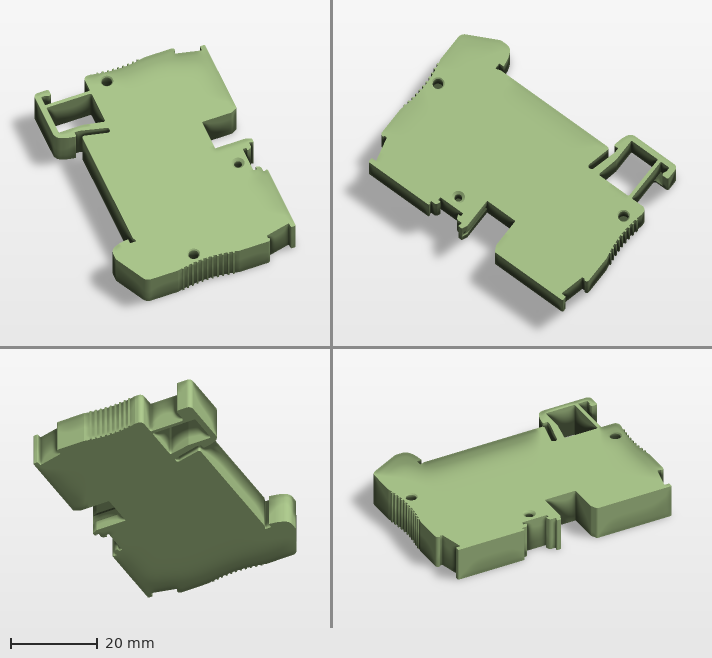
import cadquery as cq
import math

length = 60.0
height = 42.2
thickness = 8.2

body_bottom = 12.6
rail_seat = 5.9
claw_ledge = 4.75

strut_left = 4.25
strut_right = 5.1
window_bottom = 1.4
window_right = 12.8
hook_left = 0.35
hook_top = 3.85
hook_web_thickness = 0.95

notch_left = 22.3
notch_right = 30.5
notch_floor = 33.25
clip_lead_in = 0.6
wall_recess_bottom = 2.6
wall_recess_top = 5.0

clip_center = 36.4

claw_corner_x = 51.7
claw_slope = 0.51
claw_corner_radius = 1.8

grip_rib_pitch = 1.25
grip_rib_width = 0.4
grip_rib_height = 0.4

side_hole_inset = 3.1
side_hole_y = 17.2
side_hole_diameter = 2.45
side_hole_bevel = 0.3
clip_hole_y = 36.55
clip_hole_diameter = 1.8
clip_hole_bevel = 0.6
hole_mouth_diameter = 3.05
hole_depth = 3.6


def rounded_outline(corners):
    """Closed wire through (x, y, radius) corners, each rounded by its own radius."""
    wire = None
    count = len(corners)
    for i, (x, y, radius) in enumerate(corners):
        corner = cq.Vector(x, y)
        to_last = (cq.Vector(*corners[i - 1][:2]) - corner).normalized()
        to_next = (cq.Vector(*corners[(i + 1) % count][:2]) - corner).normalized()
        half_angle = to_last.getAngle(to_next) / 2
        setback = radius / math.tan(half_angle)
        entry = corner + to_last * setback
        if wire is None:
            wire = cq.Workplane("XY").moveTo(entry.x, entry.y)
        else:
            wire = wire.lineTo(entry.x, entry.y)
        if radius > 0:
            bisector = (to_last + to_next).normalized()
            middle = corner + bisector * (radius / math.sin(half_angle) - radius)
            leave = corner + to_next * setback
            wire = wire.threePointArc((middle.x, middle.y), (leave.x, leave.y))
    return wire.close()


def mirrored(corners, axis_x):
    """The same stretch of corners reflected about x = axis_x, in reversed order."""
    return [(2 * axis_x - x, y, radius) for x, y, radius in reversed(corners)]


def body():
    """Flat body with its feet; the outline runs clockwise from the lower left."""
    left_shoulder = [
        (0, body_bottom, 1.1),
        (0, 35.1, 0.6),
        (0.9, 35.25, 0.2),
        (1.0, 34.9, 0.1),
        (1.7, 34.9, 0.2),
        (3.1, 40.95, 0.1),
        (1.85, 41.0, 0.1),
        (1.85, height, 0.3),
    ]
    notch = [
        (21.55, height, 0.5),
        (notch_left, height - 1.55, 0.9),
        (notch_left, notch_floor, 0),
        (notch_right, notch_floor, 0),
        (notch_right, height - 1.3, 0),
        (notch_right + clip_lead_in, height, 0.1),
    ]
    left_clip = [
        (32.1, height, 0.2),
        (32.1, 41.7, 0.05),
        (31.95, 41.65, 0),
        (31.95, 41.1, 0),
        (33.4, 41.1, 0.7),
        (33.8, 40.15, 0.05),
        (33.8, 39.9, 0),
        (33.1, 39.9, 0),
        (33.1, 39.1, 0),
    ]
    right_claw = [
        (length, claw_slope * (length - claw_corner_x), claw_corner_radius),
        (claw_corner_x, 0, 0.6),
        (48.7, 0, 2.0),
        (47.65, 2.4, 6.0),
        (47.3, claw_ledge, 0.05),
        (48.55, claw_ledge, 0.2),
        (48.55, 6.35, 0.2),
        (47.35, rail_seat, 0),
    ]
    slot = [
        (15.65, rail_seat, 0.5),
        (17.2, body_bottom, 0.6),
        (15.8, body_bottom, 0.6),
        (14.1, 6.0, 0.3),
    ]
    spring_foot = [
        (14.1, claw_ledge, 0.1),
        (15.35, claw_ledge, 0.25),
        (14.95, 2.4, 6.0),
        (13.9, 0, 2.0),
        (hook_left, 0, 1.1),
        (hook_left, hook_top, 0.5),
        (1.9, hook_top, 0.25),
        (2.15, 3.2, 0.25),
        (1.8, 2.5, 0.2),
        (1.8, window_bottom, 0.2),
        (strut_left, window_bottom, 0),
        (strut_left, body_bottom, 0.3),
    ]
    right_shoulder = mirrored(left_shoulder[1:], length / 2)
    right_clip = mirrored(left_clip, clip_center)
    outline = left_shoulder + notch + left_clip + right_clip + right_shoulder
    outline += right_claw + slot + spring_foot
    return rounded_outline(outline).extrude(thickness)


def spring_window():
    """Through window between the strut and the springy arm of the left foot."""
    corners = [
        (strut_right, window_bottom, 0.25),
        (strut_right, body_bottom, 0.4),
        (13.85, body_bottom, 0.4),
        (window_right, 7.3, 0),
        (window_right, window_bottom, 0.25),
    ]
    return rounded_outline(corners).extrude(thickness)


def hook_web():
    """Thin floor that closes the hook of the left foot at the underside."""
    web_left = 1.2
    web_bottom = 0.6
    corner_fillet = 0.6
    web = (
        cq.Workplane("XY")
        .moveTo(web_left, web_bottom)
        .lineTo(strut_left, web_bottom)
        .lineTo(strut_left, hook_top + corner_fillet)
        .radiusArc((strut_left - corner_fillet, hook_top), corner_fillet)
        .lineTo(web_left, hook_top)
        .close()
    )
    return web.extrude(hook_web_thickness)


def wall_recess():
    """Shallow recess in the right wall of the notch, as deep as the lead-in."""
    recess_length = height - notch_floor
    recess_height = wall_recess_top - wall_recess_bottom
    recess = cq.Workplane("XY").box(clip_lead_in, recess_length, recess_height, centered=False)
    return recess.translate((notch_right, notch_floor, wall_recess_bottom))


def add_grip(part, edge_x, inward, center_y, half_span, depth, rib_count):
    """Hollow one side with a shallow arc and set a row of ribs along it."""
    radius = (half_span**2 + depth**2) / (2 * depth)
    center_x = edge_x + inward * (depth - radius)
    hollow = cq.Workplane("XY").center(center_x, center_y).circle(radius).extrude(thickness)
    part = part.cut(hollow)
    for i in range(rib_count):
        offset_y = (i - (rib_count - 1) / 2) * grip_rib_pitch
        root_x = center_x + inward * math.sqrt(radius**2 - offset_y**2)
        tip_x = root_x - inward * grip_rib_height
        tip_x = max(tip_x, edge_x) if inward > 0 else min(tip_x, edge_x)
        buried_x = root_x + inward * grip_rib_height
        rib = (
            cq.Workplane("XY")
            .center((tip_x + buried_x) / 2, center_y + offset_y)
            .rect(abs(buried_x - tip_x), grip_rib_width)
            .extrude(thickness)
        )
        part = part.union(rib)
    return part


def beveled_hole(x, y, diameter, bevel_depth):
    """Blind hole in the top face whose mouth flares out to the common diameter."""
    profile = [
        (0, thickness),
        (hole_mouth_diameter / 2, thickness),
        (diameter / 2, thickness - bevel_depth),
        (diameter / 2, thickness - hole_depth),
        (0, thickness - hole_depth),
    ]
    hole = cq.Workplane("XZ").polyline(profile).close().revolve(360, (0, 0), (0, 1))
    return hole.translate((x, y, 0))


part = body().cut(spring_window()).cut(wall_recess())
part = part.union(hook_web())
part = add_grip(part, 0, 1, center_y=21.1, half_span=6.65, depth=0.85, rib_count=9)
part = add_grip(part, length, -1, center_y=19.75, half_span=7.6, depth=1.0, rib_count=11)
for hole_x in (side_hole_inset, length - side_hole_inset):
    part = part.cut(beveled_hole(hole_x, side_hole_y, side_hole_diameter, side_hole_bevel))
part = part.cut(beveled_hole(clip_center, clip_hole_y, clip_hole_diameter, clip_hole_bevel))
result = part